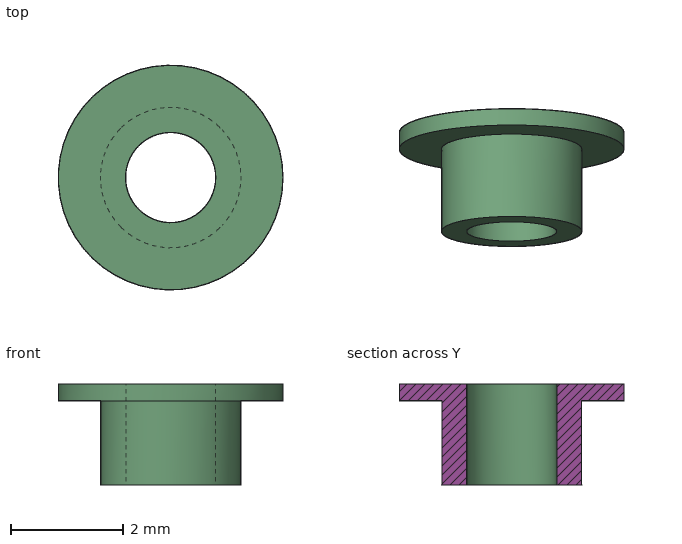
import cadquery as cq

flange_diameter = 4.0
flange_thickness = 0.3
sleeve_diameter = 2.5
bore_diameter = 1.6
total_height = 1.8

sleeve_length = total_height - flange_thickness

sleeve = cq.Workplane("XY").circle(sleeve_diameter / 2).extrude(sleeve_length)

flange = (
    cq.Workplane("XY")
    .workplane(offset=sleeve_length)
    .circle(flange_diameter / 2)
    .extrude(flange_thickness)
)

bore = cq.Workplane("XY").circle(bore_diameter / 2).extrude(total_height)

result = sleeve.union(flange).cut(bore)